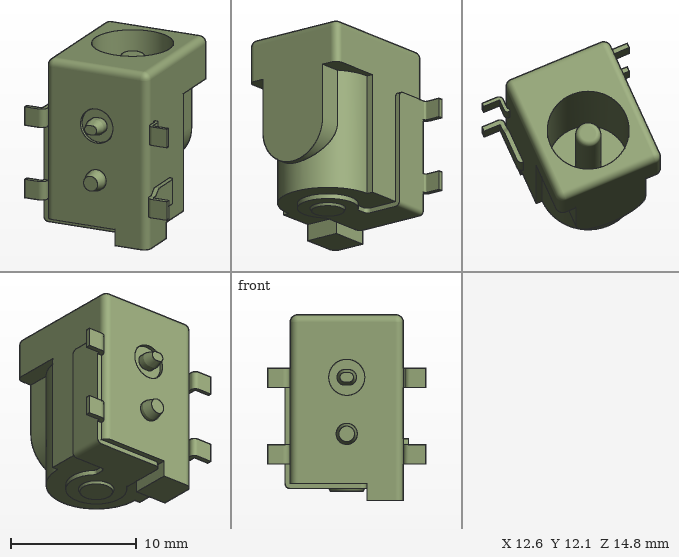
import cadquery as cq
import math


half_width = 4.51
back_y = 4.5
front_y = -6.5
edge_radius = 0.6
housing_bottom = -13.44
shoulder_z = -3.57
barrel_radius = 4.0
tongue_half_width = 3.03
tongue_straight_end = -8.02
foot_bottom = -14.8
foot_back_y = -3.11

socket_radius = 3.25
socket_depth = 9.0
contact_radius = 1.0
contact_top = -0.89
contact_rounding = 0.38

peg_tip_y = -7.6
peg_shank = 0.31
peg_shank_end_y = front_y - peg_shank
oval_peg_z = -4.99
oval_peg_radius = 0.62
oval_peg_tip_radius = 0.38
oval_peg_straight = 0.31
recess_radius = 1.44
recess_depth = 0.3
round_peg_z = -9.49
round_peg_radius = 0.85
round_peg_tip_radius = 0.62

sheet = 0.4
outer_x = half_width + sheet
leg_span = 12.6
leg_tip_x = leg_span / 2
leg_height = 1.55
upper_leg_top = -4.25
lower_leg_top = -10.35
pad_bottom_y = -6.69
overlap = 0.3

plate_back_y = -2.97
plate_front_y = -6.04
plate_corner_radius = 0.4
left_inner_bend = 0.15
ring_radius = 2.43
neck_half_width = 1.6
neck_fillet = 0.4
strip_corner_radius = 0.5
rivet_radius = 1.42
rivet_end_radius = 1.3
rivet_height = 0.22

thin_sheet = 0.3
thin_leg_root_y = -5.2
thin_root_radius = 0.3
contact_plate_root_y = -2.52
contact_plate_top = -9.85
ramp_start_y = -5.18
ramp_angle = 45
ramp_fillet = 0.4


def box(x_range, y_range, z_range):
    (x0, x1), (y0, y1), (z0, z1) = x_range, y_range, z_range
    return cq.Workplane("XY").box(x1 - x0, y1 - y0, z1 - z0, centered=False).translate((x0, y0, z0))


def disc(radius, z_low, z_high):
    return cq.Workplane("XY").workplane(offset=z_low).circle(radius).extrude(z_high - z_low)


def nearest_edge(x, y, z):
    return cq.selectors.NearestToPointSelector((x, y, z))


def front_plane(y, z):
    """Sketch plane facing -Y whose origin is on the part's centre line."""
    return cq.Workplane("XZ", origin=(0, y, z))


def make_housing():
    """Rounded block trimmed to mouth, lower half, barrel, rounded tongue and foot."""
    full_width = (-half_width, half_width)
    envelope = (
        box(full_width, (front_y, back_y), (foot_bottom, 0))
        .edges("|Z or >Z")
        .fillet(edge_radius)
    )
    tongue_end = (
        cq.Workplane("XZ", origin=(0, back_y, tongue_straight_end))
        .circle(tongue_half_width)
        .extrude(back_y)
    )
    trimmed_form = (
        box(full_width, (front_y, back_y), (shoulder_z, 0))
        .union(box(full_width, (front_y, 0), (housing_bottom, shoulder_z)))
        .union(disc(barrel_radius, housing_bottom, shoulder_z))
        .union(box((-tongue_half_width, tongue_half_width), (0, back_y), (tongue_straight_end, shoulder_z)))
        .union(tongue_end)
        .union(box((neck_half_width, half_width), (front_y, foot_back_y), (foot_bottom, housing_bottom)))
    )
    return envelope.intersect(trimmed_form)


def make_contact():
    pin = disc(contact_radius, -socket_depth - overlap, contact_top)
    return pin.faces(">Z").edges().fillet(contact_rounding)


def peg(root_y, z, radius, tip_radius, straight=0.0):
    """Tapered peg pointing to -Y; a straight length makes its section an oval."""
    shank_length = root_y - peg_shank_end_y
    taper_length = peg_shank_end_y - peg_tip_y
    taper = math.degrees(math.atan((radius - tip_radius) / taper_length))

    def section(y):
        plane = front_plane(y, z)
        if straight:
            return plane.slot2D(2 * radius + straight, 2 * radius)
        return plane.circle(radius)

    shank = section(root_y).extrude(shank_length)
    return shank.union(section(peg_shank_end_y).extrude(taper_length, taper=taper))


def leg(root_y, thickness, outer_bend, z_top, z_bottom):
    """Sheet strip on the +X side, running to -Y and then bent outwards into a solder pad."""
    inner_x = outer_x - thickness
    return (
        cq.Workplane("XY")
        .workplane(offset=z_bottom)
        .moveTo(outer_x, root_y)
        .lineTo(outer_x, pad_bottom_y + thickness)
        .lineTo(leg_tip_x, pad_bottom_y + thickness)
        .lineTo(leg_tip_x, pad_bottom_y)
        .lineTo(inner_x + outer_bend, pad_bottom_y)
        .radiusArc((inner_x, pad_bottom_y + outer_bend), outer_bend)
        .lineTo(inner_x, root_y)
        .close()
        .extrude(z_top - z_bottom)
    )


def make_left_terminal():
    plate_bottom = housing_bottom - sheet
    depth = (plate_front_y, plate_back_y)
    bent_sheet = (
        box((-outer_x, neck_half_width), depth, (plate_bottom, upper_leg_top))
        .edges("|Y and <X and <Z")
        .fillet(sheet)
        .edges("|Z and >X and <Y")
        .fillet(strip_corner_radius)
        .edges("|X and >Y and >Z")
        .fillet(plate_corner_radius)
        .cut(box((-half_width, neck_half_width), depth, (housing_bottom, upper_leg_top)))
    )
    neck = box((-neck_half_width, neck_half_width), (plate_back_y, 0), (plate_bottom, housing_bottom))
    terminal = bent_sheet.union(neck).union(disc(ring_radius, plate_bottom, housing_bottom))
    ring_meets_neck_y = -math.sqrt(ring_radius**2 - neck_half_width**2)
    for corner in (
        (-neck_half_width, plate_back_y),
        (-neck_half_width, ring_meets_neck_y),
        (neck_half_width, ring_meets_neck_y),
    ):
        corner_edge = nearest_edge(*corner, housing_bottom - sheet / 2)
        terminal = terminal.edges(corner_edge).fillet(neck_fillet)
    rivet = (
        cq.Workplane("XY", origin=(0, 0, plate_bottom))
        .circle(rivet_radius)
        .workplane(offset=-rivet_height)
        .circle(rivet_end_radius)
        .loft()
    )
    terminal = terminal.union(rivet)
    for top in (upper_leg_top, lower_leg_top):
        inner_bend = nearest_edge(outer_x, pad_bottom_y + sheet, top - leg_height / 2)
        strip_leg = leg(plate_front_y, sheet, sheet + left_inner_bend, top, top - leg_height)
        strip_leg = strip_leg.edges(inner_bend).fillet(left_inner_bend)
        terminal = terminal.union(strip_leg.mirror("YZ"))
    return terminal


def rooted_leg(root_y, thickness, root_radius, z_top, z_bottom):
    """Leg on the +X side that leaves the housing through its wall in a rounded bend."""
    root = box((half_width - overlap, outer_x), (root_y - thickness, root_y), (z_bottom, z_top))
    root_edge = nearest_edge(outer_x, root_y, (z_top + z_bottom) / 2)
    strip = leg(root_y, thickness, sheet, z_top, z_bottom)
    return root.union(strip).edges(root_edge).fillet(root_radius)


def make_upper_right_terminal():
    bottom = upper_leg_top - leg_height
    return rooted_leg(thin_leg_root_y, thin_sheet, thin_root_radius, upper_leg_top, bottom)


def make_lower_right_terminal():
    bottom = lower_leg_top - leg_height
    plate = rooted_leg(contact_plate_root_y, sheet, sheet, contact_plate_top, bottom)
    ramp_drop = contact_plate_top - lower_leg_top
    ramp_run = ramp_drop / math.tan(math.radians(ramp_angle))
    rounding_length = ramp_fillet * math.tan(math.radians(ramp_angle / 2))
    ramp_top_y = ramp_start_y - rounding_length
    above_ramp = (
        cq.Workplane("YZ", origin=(half_width, 0, 0))
        .polyline(
            [
                (back_y, contact_plate_top),
                (ramp_top_y, contact_plate_top),
                (ramp_top_y - ramp_run, lower_leg_top),
                (pad_bottom_y - overlap, lower_leg_top),
                (pad_bottom_y - overlap, contact_plate_top + overlap),
                (back_y, contact_plate_top + overlap),
            ]
        )
        .close()
        .extrude(leg_tip_x - half_width)
    )
    ramp_ends = ((ramp_top_y, contact_plate_top), (ramp_top_y - ramp_run, lower_leg_top))
    for y, z in ramp_ends:
        end_edge = nearest_edge((half_width + leg_tip_x) / 2, y, z)
        above_ramp = above_ramp.edges(end_edge).fillet(ramp_fillet)
    return plate.cut(above_ramp)


socket = disc(socket_radius, -socket_depth, 0)
recess = front_plane(front_y + recess_depth, oval_peg_z).circle(recess_radius).extrude(recess_depth)

result = (
    make_housing()
    .cut(socket)
    .cut(recess)
    .union(make_contact())
    .union(peg(front_y + recess_depth, oval_peg_z, oval_peg_radius, oval_peg_tip_radius, oval_peg_straight))
    .union(peg(front_y, round_peg_z, round_peg_radius, round_peg_tip_radius))
    .union(make_left_terminal())
    .union(make_upper_right_terminal())
    .union(make_lower_right_terminal())
)